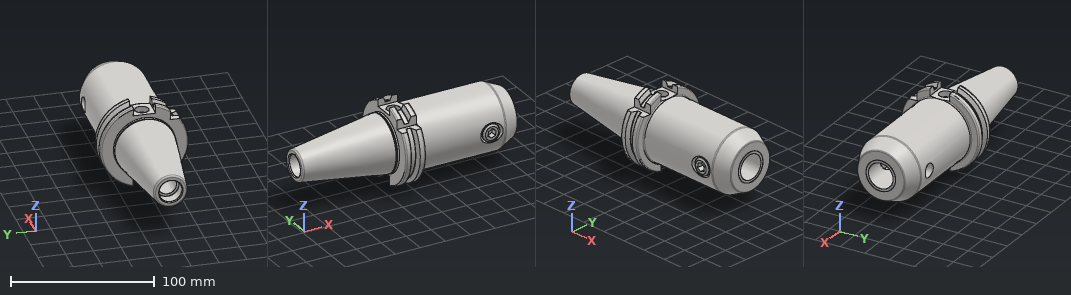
import cadquery as cq
import math

total_length = 168.4

taper_length = 69.0
taper_end_radius = 22.2
taper_slope = 7 / 48
taper_tip_radius = taper_end_radius - taper_slope * taper_length
tip_rounding = 1.3

relief_radius = 21.9
relief_start = 70.0
relief_end = 70.5
relief_wall_radius = 22.4

flange_start = 71.7
flange_width = 15.8
flange_end = flange_start + flange_width
flange_diameter = 63.5
flange_radius = flange_diameter / 2
flange_rounding = 1.0
groove_center = 79.5
groove_floor_radius = 28.1
groove_floor_width = 3.5
vee_root_radius = 28.6
vee_wall_angle = 30.0
vee_wall_run = (flange_radius - vee_root_radius) * math.tan(math.radians(vee_wall_angle))
groove_mouth_width = groove_floor_width + 2 * vee_wall_run

slot_width = 16.0
top_slot_floor = 25.0
bottom_slot_floor = 22.7
notch_offset = 18.5
chip_hole_diameter = 10.0
chip_hole_depth = 4.5

body_radius = 25.1
body_root_fillet = 0.8
nose_cone_start = 155.6
nose_cone_angle = 25.0
nose_shoulder_rounding = 2.5
nose_edge_rounding = 0.8
nose_lip_radius = 12.0
nose_lip_height = 0.2
nose_face = total_length - nose_lip_height
nose_radius = body_radius - (nose_face - nose_cone_start) * math.tan(math.radians(nose_cone_angle))

pilot_bore_radius = 8.3
pilot_bore_depth = 10.1
pilot_mouth_radius = 8.8
pilot_mouth_depth = 1.0
pilot_end_radius = 8.6
pilot_end_length = 1.3
drawbar_bore_radius = 6.7
drawbar_bore_depth = 32.0
channel_radius = 5.9
tool_bore_radius = 10.0
tool_bore_depth = 50.5

search_margin = 0.08

screw_x = 144.3
screw_radius = 6.9
screw_face_radius = 5.2
screw_face_y = -body_radius
screw_chamfer_height = 1.0
screw_length = 14.8
socket_width = 6.0
socket_sides = 6
socket_depth = 5.0
socket_corner_angle = 23.0
screw_hole_mouth_radius = 9.0
back_hole_radius = 5.4


def round_circle(solid, x, radius, rounding):
    """Fillet the circular edge of the given radius that lies at x."""
    def ring(reach):
        low = (x - search_margin, -reach, -reach)
        high = (x + search_margin, reach, reach)
        return cq.selectors.BoxSelector(low, high, boundingbox=True)

    edge = ring(radius + search_margin) - ring(radius - search_margin)
    return solid.edges(edge).fillet(rounding)


def outer_blank():
    """Turned outside of the holder, without its drive features."""
    profile = (
        cq.Workplane("XY")
        .moveTo(0, 0)
        .lineTo(0, taper_tip_radius)
        .lineTo(taper_length, taper_end_radius)
        .lineTo(relief_start, relief_radius)
        .lineTo(relief_end, relief_radius)
        .lineTo(flange_start, relief_wall_radius)
        .lineTo(flange_start, flange_radius)
        .lineTo(groove_center - groove_mouth_width / 2, flange_radius)
        .lineTo(groove_center - groove_floor_width / 2, vee_root_radius)
        .lineTo(groove_center - groove_floor_width / 2, groove_floor_radius)
        .lineTo(groove_center + groove_floor_width / 2, groove_floor_radius)
        .lineTo(groove_center + groove_floor_width / 2, vee_root_radius)
        .lineTo(groove_center + groove_mouth_width / 2, flange_radius)
        .lineTo(flange_end, flange_radius)
        .lineTo(flange_end, body_radius)
        .lineTo(nose_cone_start, body_radius)
        .lineTo(nose_face, nose_radius)
        .lineTo(nose_face, nose_lip_radius)
        .lineTo(total_length, nose_lip_radius)
        .lineTo(total_length, 0)
        .close()
    )
    blank = profile.revolve(360, (0, 0, 0), (1, 0, 0))
    blank = blank.faces("<X").edges().fillet(tip_rounding)
    blank = round_circle(blank, nose_face, nose_radius, nose_edge_rounding)
    blank = round_circle(blank, nose_cone_start, body_radius, nose_shoulder_rounding)
    blank = round_circle(blank, flange_end, body_radius, body_root_fillet)
    for flange_face in (flange_start, flange_end):
        blank = round_circle(blank, flange_face, flange_radius, flange_rounding)
    return blank


def axial_bores():
    """Pilot and drawbar bores, coolant channel and tool bore as one turned cutter."""
    tool_start = total_length - tool_bore_depth
    return (
        cq.Workplane("XY")
        .moveTo(0, 0)
        .lineTo(0, pilot_mouth_radius)
        .lineTo(pilot_mouth_depth, pilot_bore_radius)
        .lineTo(pilot_bore_depth - pilot_end_length, pilot_bore_radius)
        .lineTo(pilot_bore_depth, pilot_end_radius)
        .lineTo(pilot_bore_depth, drawbar_bore_radius)
        .lineTo(drawbar_bore_depth, drawbar_bore_radius)
        .lineTo(drawbar_bore_depth + drawbar_bore_radius - channel_radius, channel_radius)
        .lineTo(tool_start, channel_radius)
        .lineTo(tool_start, tool_bore_radius)
        .lineTo(total_length, tool_bore_radius)
        .lineTo(total_length, 0)
        .close()
        .revolve(360, (0, 0, 0), (1, 0, 0))
    )


def top_slot():
    """Drive slot across the top of the flange, with the data chip hole in its floor."""
    height = flange_radius - top_slot_floor
    slot = (
        cq.Workplane("XY", origin=(0, 0, top_slot_floor))
        .center(flange_start + flange_width / 2, 0)
        .rect(flange_width + 2 * body_root_fillet, slot_width)
        .extrude(height)
    )
    chip_hole = (
        cq.Workplane("XY", origin=(groove_center, 0, top_slot_floor))
        .circle(chip_hole_diameter / 2)
        .extrude(-chip_hole_depth)
    )
    return slot.union(chip_hole)


def bottom_slot():
    """Deeper drive slot underneath, ending in a half round run-out in the body."""
    half = slot_width / 2
    return (
        cq.Workplane("XY", origin=(0, 0, -bottom_slot_floor))
        .moveTo(flange_start, -half)
        .lineTo(flange_end, -half)
        .threePointArc((flange_end + half, 0), (flange_end, half))
        .lineTo(flange_start, half)
        .close()
        .extrude(bottom_slot_floor - flange_radius)
    )


def orientation_notch():
    """Square corner notch along the flange on the -Y, +Z side."""
    size = flange_radius - notch_offset
    block = cq.Workplane("XY").box(flange_width, size, size, centered=False)
    return block.translate((flange_start, -flange_radius, notch_offset))


def screw_hole():
    """Cross hole for the screw with a conical mouth, and a narrower hole through the far wall."""
    axis_plane = cq.Workplane("XZ", origin=(screw_x, 0, 0))
    threaded_hole = axis_plane.circle(screw_radius).extrude(body_radius)
    back_hole = axis_plane.circle(back_hole_radius).extrude(-body_radius)
    mouth_depth = screw_hole_mouth_radius - screw_radius
    mouth = cq.Solid.makeCone(
        screw_hole_mouth_radius,
        screw_radius,
        mouth_depth,
        pnt=cq.Vector(screw_x, -body_radius, 0),
        dir=cq.Vector(0, 1, 0),
    )
    return threaded_hole.union(back_hole).union(cq.Workplane(mouth))


def make_holder():
    """Turned blank with every bore, slot and hole cut from it."""
    holder = outer_blank()
    for cutter in (axial_bores(), top_slot(), bottom_slot(), orientation_notch(), screw_hole()):
        holder = holder.cut(cutter)
    return holder


def make_screw():
    """Chamfered set screw lying along Y, with a hexagon socket in its outer face."""
    socket_corner_diameter = socket_width / math.cos(math.pi / socket_sides)
    outer_face = cq.Workplane("XZ", origin=(screw_x, screw_face_y, 0))
    screw = outer_face.circle(screw_radius).extrude(-screw_length)
    screw = screw.faces("<Y").edges().chamfer(screw_chamfer_height, screw_radius - screw_face_radius)
    socket = (
        outer_face.transformed(rotate=(0, 0, socket_corner_angle))
        .polygon(socket_sides, socket_corner_diameter)
        .extrude(-socket_depth)
    )
    return screw.cut(socket)


holder = make_holder()
screw = make_screw()
result = cq.Compound.makeCompound([holder.val(), screw.val()])